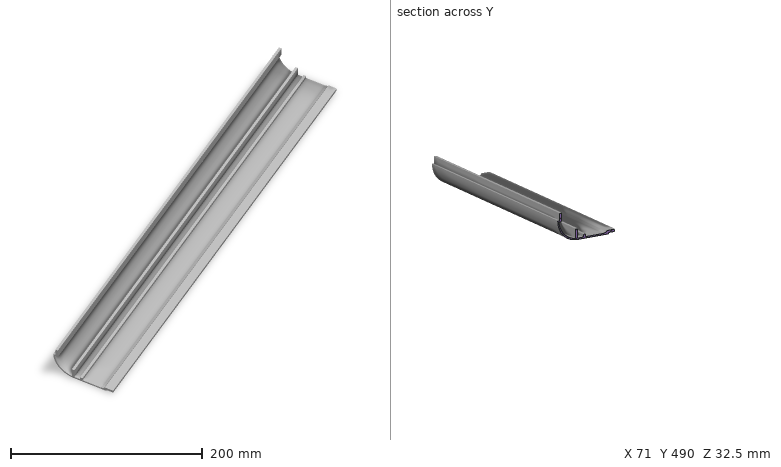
import cadquery as cq

length = 490.0
width = 71.0
height = 32.5

thickness = 2.0
outer_radius = 24.5
inner_radius = outer_radius - thickness

flange_left = 2.5
flange_right = 5.5
flange_bottom = 22.5

rib_thickness = 3.0
post_left = 22.0
post_height = 12.2
low_rib_left = 32.0
low_rib_height = 5.0

lip_bottom = 1.5
lip_top = 4.5
ramp_start = 57.0
ramp_end = 60.5
ramp_top = 3.0
lip_start = 61.2
floor_end = 62.5
lip_underside_start = 63.5


def extrude_along_y(profile):
    """Extrude an XZ profile symmetrically about the XZ plane."""
    return profile.extrude(length / 2, both=True)


def rib(left, right, bottom, top):
    """Make a full-length rectangular rib."""
    profile = (
        cq.Workplane("XZ")
        .moveTo(left, bottom)
        .lineTo(right, bottom)
        .lineTo(right, top)
        .lineTo(left, top)
        .close()
    )
    return extrude_along_y(profile)


def shell():
    """Make the curved wall, flat floor and stepped lip as one profile."""
    arc_diagonal = 0.5 ** 0.5
    outer_middle = outer_radius * (1 - arc_diagonal)
    inner_middle = outer_radius - inner_radius * arc_diagonal
    profile = (
        cq.Workplane("XZ")
        .moveTo(0, outer_radius)
        .threePointArc((outer_middle, outer_middle), (outer_radius, 0))
        .lineTo(floor_end, 0)
        .lineTo(lip_underside_start, lip_bottom)
        .lineTo(width, lip_bottom)
        .lineTo(width, lip_top)
        .lineTo(lip_start, lip_top)
        .lineTo(ramp_end, ramp_top)
        .lineTo(ramp_start, thickness)
        .lineTo(outer_radius, thickness)
        .threePointArc((inner_middle, inner_middle), (thickness, outer_radius))
        .close()
    )
    return extrude_along_y(profile)



flange = rib(flange_left, flange_right, flange_bottom, height)
foot_left = thickness / 2
flange_foot = rib(foot_left, flange_right, flange_bottom, outer_radius)

rib_base = thickness / 2
post = rib(post_left, post_left + rib_thickness, rib_base, post_height)
low_rib = rib(low_rib_left, low_rib_left + rib_thickness, rib_base, low_rib_height)

result = shell().union(flange).union(flange_foot).union(post).union(low_rib).clean()